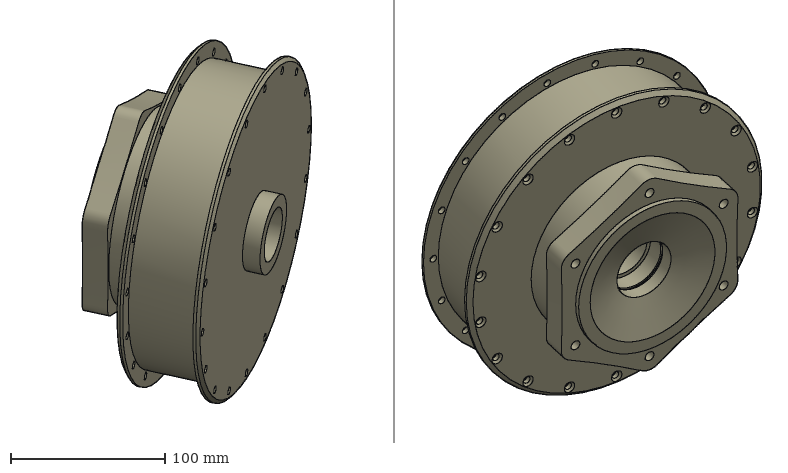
import cadquery as cq
import math

pilot_end = 3.5
mount_end = 21
front_rim_start = 42
front_rim_end = 47
rear_rim_start = 95
rear_rim_end = 99
hub_end = 111

pilot_diameter = 115
neck_diameter = 133
rim_diameter = 230
drum_diameter = 207
hub_diameter = 53.5
front_rim_chamfer_length = 3
front_rim_chamfer_height = 3.25
rear_rim_chamfer_length = 2
rear_rim_chamfer_height = 2.75

cone_mouth_diameter = 97
cone_depth = 10
seat_diameter = 42
groove_diameter = 44.5
groove_start = 19.8
groove_width = 2.2
seat_end = 34
bore_diameter = 36.5

mount_corners = 6
mount_circle_radius = 66.5
lobe_radius = 11.1
waist_radius = 67.9
mount_hole_diameter = 6.75
mount_hole_depth = 15

rim_hole_count = 18
rim_hole_circle_radius = 107.25
rim_hole_diameter = 5
countersink_diameter = 8
countersink_depth = (countersink_diameter - rim_hole_diameter) / 2


def revolve_about_x(profile):
    """Revolve a closed list of (x, radius) points about the X axis."""
    return cq.Workplane("XY").polyline(profile).close().revolve(360, (0, 0, 0), (1, 0, 0))


def make_body():
    pilot = pilot_diameter / 2
    neck = neck_diameter / 2
    rim = rim_diameter / 2
    drum = drum_diameter / 2
    hub = hub_diameter / 2
    return revolve_about_x([
        (0, 0),
        (0, pilot),
        (pilot_end, pilot),
        (pilot_end, neck),
        (front_rim_start, neck),
        (front_rim_start, rim - front_rim_chamfer_height),
        (front_rim_start + front_rim_chamfer_length, rim),
        (front_rim_end, rim),
        (front_rim_end, drum),
        (rear_rim_start, drum),
        (rear_rim_start, rim),
        (rear_rim_end - rear_rim_chamfer_length, rim),
        (rear_rim_end, rim - rear_rim_chamfer_height),
        (rear_rim_end, hub),
        (hub_end, hub),
        (hub_end, 0),
    ])


def make_bore():
    seat = seat_diameter / 2
    groove = groove_diameter / 2
    bore = bore_diameter / 2
    groove_end = groove_start + groove_width
    return revolve_about_x([
        (0, 0),
        (0, cone_mouth_diameter / 2),
        (cone_depth, seat),
        (groove_start, seat),
        (groove_start, groove),
        (groove_end, groove),
        (groove_end, seat),
        (seat_end, seat),
        (seat_end, bore),
        (hub_end, bore),
        (hub_end, 0),
    ])


def polar(radius, angle):
    """Point (y, z) at an angle in degrees from +Y toward +Z."""
    return (radius * math.cos(math.radians(angle)), radius * math.sin(math.radians(angle)))


def make_mount_flange():
    pitch = 360 / mount_corners
    lobe_y, lobe_z = polar(mount_circle_radius, pitch / 2)
    waist_offset = waist_radius - lobe_y
    side_radius = (waist_offset**2 + lobe_z**2 - lobe_radius**2) / (2 * (lobe_radius - waist_offset))
    side_centre = waist_radius + side_radius
    tilt = math.atan2(lobe_z, side_centre - lobe_y)
    tangent_y = side_centre - side_radius * math.cos(tilt)
    tangent_z = side_radius * math.sin(tilt)
    tangent_radius = math.hypot(tangent_y, tangent_z)
    tangent_angle = math.degrees(math.atan2(tangent_z, tangent_y))

    outline = cq.Workplane("YZ", origin=(pilot_end, 0, 0)).moveTo(*polar(tangent_radius, -tangent_angle))
    for side in range(mount_corners):
        middle = side * pitch
        outline = outline.threePointArc(
            polar(waist_radius, middle),
            polar(tangent_radius, middle + tangent_angle),
        ).threePointArc(
            polar(mount_circle_radius + lobe_radius, middle + pitch / 2),
            polar(tangent_radius, middle + pitch - tangent_angle),
        )
    return outline.close().extrude(mount_end - pilot_end)


def make_hole_ring(start, end, diameter, circle_radius, count, first_angle):
    """Cylinders along X, evenly spaced on a circle about the X axis."""
    centres = [polar(circle_radius, first_angle + index * 360 / count) for index in range(count)]
    return (
        cq.Workplane("YZ", origin=(start, 0, 0))
        .pushPoints(centres)
        .circle(diameter / 2)
        .extrude(end - start)
    )


def make_countersinks(first_angle):
    """Cones that open the front rim holes toward the front face."""
    cone = cq.Solid.makeCone(
        countersink_diameter / 2,
        rim_hole_diameter / 2,
        countersink_depth,
        pnt=cq.Vector(front_rim_start, *polar(rim_hole_circle_radius, first_angle)),
        dir=cq.Vector(1, 0, 0),
    )
    pitch = 360 / rim_hole_count
    cones = [cone.rotate((0, 0, 0), (1, 0, 0), index * pitch) for index in range(rim_hole_count)]
    return cq.Workplane("XY").newObject(cones).combine()


top_angle = 90
half_pitch = 180 / rim_hole_count

mount_holes = make_hole_ring(
    pilot_end,
    pilot_end + mount_hole_depth,
    mount_hole_diameter,
    mount_circle_radius,
    mount_corners,
    top_angle,
)
front_rim_holes = make_hole_ring(
    front_rim_start,
    front_rim_end,
    rim_hole_diameter,
    rim_hole_circle_radius,
    rim_hole_count,
    top_angle,
)
rear_rim_holes = make_hole_ring(
    rear_rim_start,
    rear_rim_end,
    rim_hole_diameter,
    rim_hole_circle_radius,
    rim_hole_count,
    top_angle + half_pitch,
)

result = (
    make_body()
    .union(make_mount_flange())
    .cut(make_bore())
    .cut(mount_holes)
    .cut(front_rim_holes)
    .cut(make_countersinks(top_angle))
    .cut(rear_rim_holes)
)